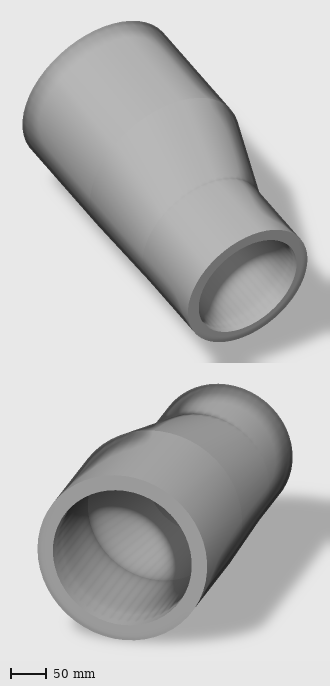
import cadquery as cq

total_length = 440.0
large_length = 180.0
small_length = 120.0
large_outer_diameter = 250.0
large_bore_diameter = 204.5
small_outer_diameter = 200.0
small_bore_diameter = 163.5

taper_length = total_length - large_length - small_length
small_axis_y = -(large_outer_diameter - small_outer_diameter) / 2


def reducer_body(large_diameter, small_diameter):
    """Solid large cylinder, offset taper and small cylinder joined end to end."""
    large_end = cq.Workplane("YZ").circle(large_diameter / 2).extrude(large_length)
    taper = (
        cq.Workplane("YZ", origin=(large_length, 0, 0))
        .circle(large_diameter / 2)
        .workplane(offset=taper_length)
        .center(small_axis_y, 0)
        .circle(small_diameter / 2)
        .loft(ruled=True)
    )
    small_end = (
        cq.Workplane("YZ", origin=(large_length + taper_length, small_axis_y, 0))
        .circle(small_diameter / 2)
        .extrude(small_length)
    )
    return large_end.union(taper).union(small_end)


outside = reducer_body(large_outer_diameter, small_outer_diameter)
bore = reducer_body(large_bore_diameter, small_bore_diameter)
result = outside.cut(bore)